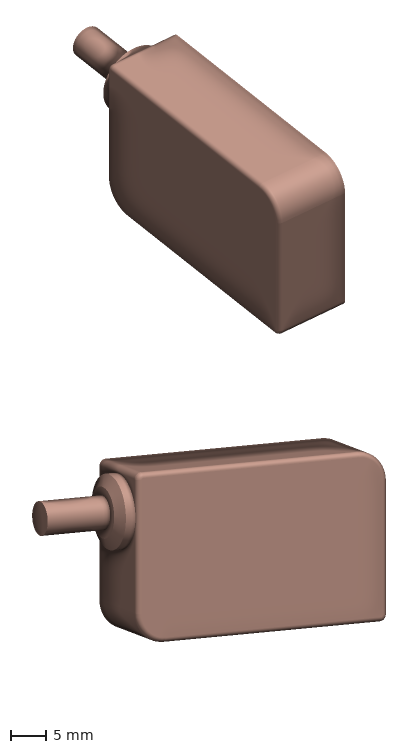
import cadquery as cq

total_length = 52.5
body_length = 40.0
body_depth = 12.0
body_height = 25.0

large_corner_radius = 4.5
small_corner_radius = 1.0
front_edge_radius = 0.75

gland_diameter = 11.0
gland_tip_diameter = 7.5
gland_length = 2.5
gland_cone_length = 1.0
cable_diameter = 5.0
axis_below_top = 6.5

body_left = total_length - body_length
gland_left = body_left - gland_length
axis_y = body_depth / 2
axis_z = body_height - axis_below_top


def make_body():
    """Block with two large and two small diagonal corners and a rounded front rim."""
    body = cq.Workplane("XY").box(body_length, body_depth, body_height, centered=False)
    body = body.edges("|Y and <X and <Z").fillet(large_corner_radius)
    body = body.edges("|Y and >X and >Z").fillet(large_corner_radius)
    body = body.edges("|Y and <X and >Z").fillet(small_corner_radius)
    body = body.edges("|Y and >X and <Z").fillet(small_corner_radius)
    body = body.faces("<Y").edges().fillet(front_edge_radius)
    return body.translate((body_left, 0, 0))


def make_cable_entry():
    """Gland with a conical tip and the cable, revolved about their common axis."""
    half_profile = [
        (0, 0),
        (0, cable_diameter / 2),
        (gland_left, cable_diameter / 2),
        (gland_left, gland_tip_diameter / 2),
        (gland_left + gland_cone_length, gland_diameter / 2),
        (body_left, gland_diameter / 2),
        (body_left, 0),
    ]
    entry = cq.Workplane("XY").polyline(half_profile).close()
    entry = entry.revolve(360, (0, 0, 0), (1, 0, 0))
    return entry.translate((0, axis_y, axis_z))


result = make_body().union(make_cable_entry())